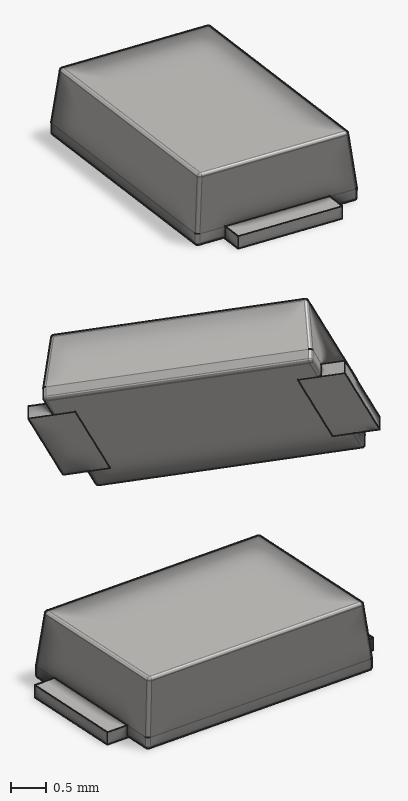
import cadquery as cq

overall_length = 4.7
overall_height = 1.1

housing_length = 4.0
housing_width = 2.7
taper_inset = 0.095
edge_radius = 0.05

terminal_thickness = 0.2
terminal_width = 1.74
exposed_length = (overall_length - housing_length) / 2
embedded_length = exposed_length
terminal_length = exposed_length + embedded_length


def make_housing():
    """Moulded block with tapered sides and all outer edges rounded."""
    taper_height = overall_height - terminal_thickness
    top_length = housing_length - 2 * taper_inset
    top_width = housing_width - 2 * taper_inset

    band = cq.Workplane("XY").box(
        housing_length, housing_width, terminal_thickness, centered=(True, True, False)
    )
    taper = (
        cq.Workplane("XY", origin=(0, 0, terminal_thickness))
        .rect(housing_length, housing_width)
        .workplane(offset=taper_height)
        .rect(top_length, top_width)
        .loft(ruled=True)
    )
    block = band.union(taper)

    corner_edges = block.edges("not #Z")
    rim_edges = block.faces("<Z or >Z").edges()
    return block.newObject(corner_edges.vals() + rim_edges.vals()).fillet(edge_radius)


def make_terminal(side):
    """Flat plate set into one end of the housing, level with its underside."""
    center_x = side * (overall_length - terminal_length) / 2
    return cq.Workplane("XY", origin=(center_x, 0, 0)).box(
        terminal_length, terminal_width, terminal_thickness, centered=(True, True, False)
    )


terminals = [make_terminal(side) for side in (-1, 1)]

housing = make_housing()
for terminal in terminals:
    housing = housing.cut(terminal)

result = cq.Compound.makeCompound([housing.val(), *[terminal.val() for terminal in terminals]])